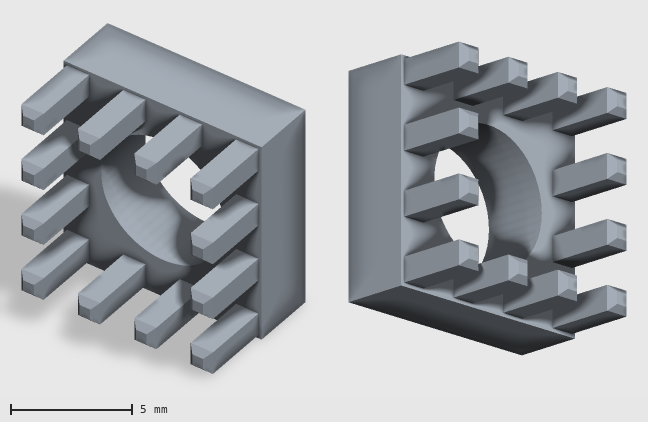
import cadquery as cq

block_side = 10.0
block_depth = 3.1
hole_diameter = 6.2

pins_per_side = 4
pin_pitch = 2.85
pin_width = 1.12
pin_length = 3.5
pin_tip_chamfer = 0.29


def ring_positions():
    """Pin centres (X, Z) on the border of the pin grid."""
    last = pins_per_side - 1
    offsets = [(i - last / 2) * pin_pitch for i in range(pins_per_side)]
    border = (offsets[0], offsets[-1])
    return [(x, z) for x in offsets for z in offsets if x in border or z in border]


def make_block():
    """Block with its pin face on Y = 0 and its back at Y = block_depth."""
    return (
        cq.Workplane("XZ")
        .rect(block_side, block_side)
        .circle(hole_diameter / 2)
        .extrude(-block_depth)
    )


def make_pins():
    """Square pins pointing to -Y with chamfered tips."""
    return (
        cq.Workplane("XZ")
        .pushPoints(ring_positions())
        .rect(pin_width, pin_width)
        .extrude(pin_length)
        .faces("<Y")
        .chamfer(pin_tip_chamfer)
    )


result = make_block().union(make_pins())